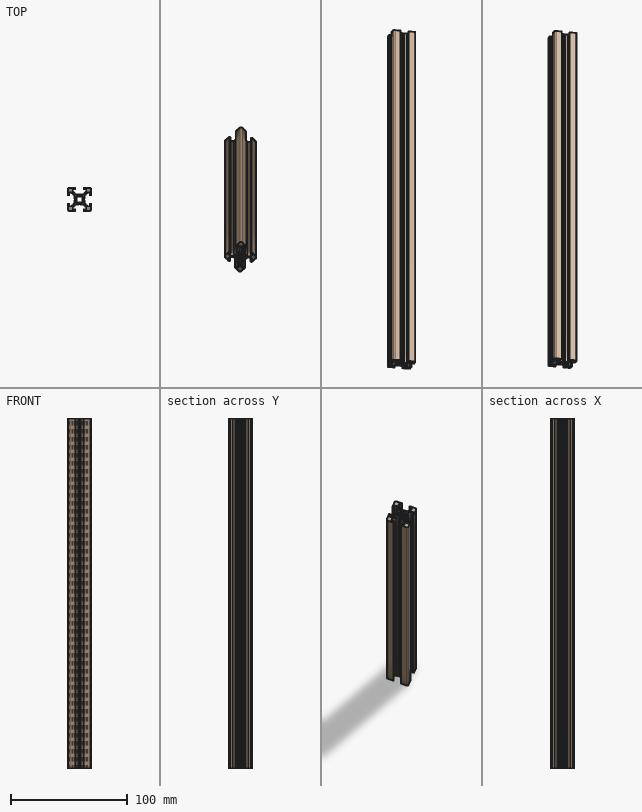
import cadquery as cq
import math

SIDE = 20.0
LENGTH = 300.0
CORNER_RADIUS = 1.5

SLOT_WIDTH = 7.1
MOUTH_CHAMFER_ACROSS = 0.1
MOUTH_CHAMFER_DEPTH = 0.12
LIP_THICKNESS = 1.38
CAVITY_WIDTH = 11.55
WEB_THICKNESS = 1.46
FLOOR_HEIGHT = 4.46
FLOOR_FLAT_WIDTH = 6.2
FLOOR_RISE_ANGLE = 15.0

GROOVE_WIDTH = 2.08
GROOVE_BOTTOM_WIDTH = 0.88
GROOVE_WALL_ANGLE = 30.0

BORE_SIDE = 4.55
RELIEF_WIDTH = 1.12
RELIEF_REACH = 2.95
POINT_WIDTH = 0.76
POINT_REACH = 3.11

QUARTER_TURNS = (0, 90, 180, 270)


def make_prism(outline):
    """Extrude a closed outline over the full length of the bar."""
    return cq.Workplane("XY").polyline(outline).close().extrude(LENGTH)


def turned(solid, angle):
    """Turn a solid about the bar axis."""
    return solid.rotate((0, 0, 0), (0, 0, 1), angle)


def mirrored_outline(right_half):
    """Complete a half outline with its mirror image across the Y axis."""
    return right_half + [(-x, y) for x, y in reversed(right_half)]


def make_bar():
    """Square bar with rounded long edges."""
    bar = cq.Workplane("XY").rect(SIDE, SIDE).extrude(LENGTH)
    return bar.edges("|Z").fillet(CORNER_RADIUS)


def make_slot_cutter():
    """T-slot on the +Y side, from its chamfered mouth down to the grooved floor."""
    face = SIDE / 2
    lip_bottom = face - LIP_THICKNESS
    slot_half = SLOT_WIDTH / 2
    cavity_half = CAVITY_WIDTH / 2
    floor_half = FLOOR_FLAT_WIDTH / 2

    flank_shift = WEB_THICKNESS / math.sqrt(2)
    rise = math.tan(math.radians(FLOOR_RISE_ANGLE))
    flank_foot = (FLOOR_HEIGHT - floor_half * rise - flank_shift) / (1 - rise)

    groove_wall_width = (GROOVE_WIDTH - GROOVE_BOTTOM_WIDTH) / 2
    groove_depth = groove_wall_width * math.tan(math.radians(GROOVE_WALL_ANGLE))

    right_half = [
        (slot_half + MOUTH_CHAMFER_ACROSS, face),
        (slot_half, face - MOUTH_CHAMFER_DEPTH),
        (slot_half, lip_bottom),
        (cavity_half, lip_bottom),
        (cavity_half, cavity_half + flank_shift),
        (flank_foot, flank_foot + flank_shift),
        (floor_half, FLOOR_HEIGHT),
        (GROOVE_WIDTH / 2, FLOOR_HEIGHT),
        (GROOVE_BOTTOM_WIDTH / 2, FLOOR_HEIGHT - groove_depth),
    ]
    return make_prism(mirrored_outline(right_half))


def make_bore_wall_reliefs():
    """The reliefs in the +Y wall of the bore, joined to a strip that reaches the axis."""
    wall = BORE_SIDE / 2
    right_half = [
        (wall, 0),
        (wall, POINT_REACH),
        (wall - POINT_WIDTH, wall),
        (RELIEF_WIDTH / 2, wall),
        (RELIEF_WIDTH / 2, RELIEF_REACH),
    ]
    return make_prism(mirrored_outline(right_half))


def make_bore():
    """Through bore: a square with its reliefs on all four walls."""
    bore = cq.Workplane("XY").rect(BORE_SIDE, BORE_SIDE).extrude(LENGTH)
    wall_reliefs = make_bore_wall_reliefs()
    for angle in QUARTER_TURNS:
        bore = bore.union(turned(wall_reliefs, angle))
    return bore.clean()


result = make_bar().cut(make_bore())
slot_cutter = make_slot_cutter()
for angle in QUARTER_TURNS:
    result = result.cut(turned(slot_cutter, angle))